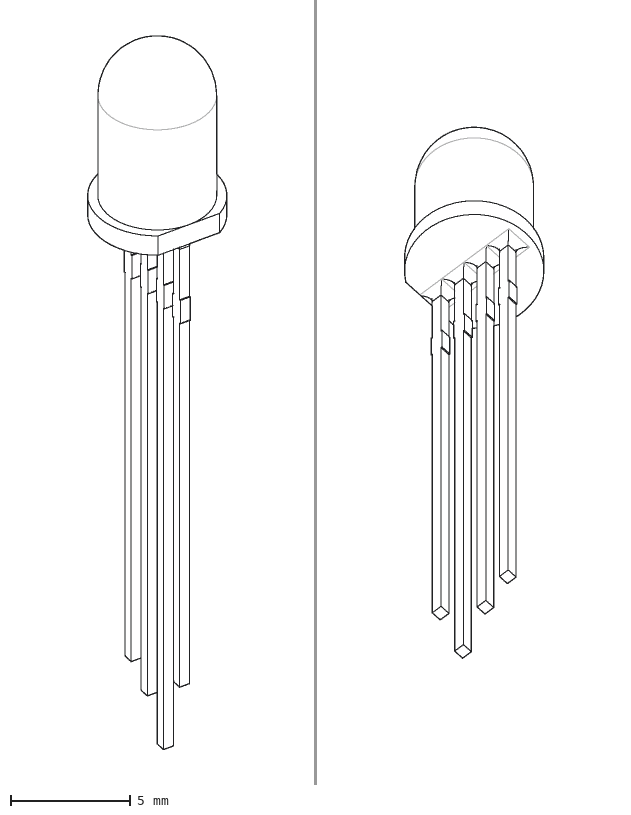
import cadquery as cq

overall_height = 35.65
longest_lead = 27.0
lens_diameter = 5.0
lens_radius = lens_diameter / 2
lens_height = overall_height - longest_lead
dome_base = lens_height - lens_radius
flange_diameter = 5.85
flange_height = 1.0

lead_width = 0.5
lead_row_span = 3.8
length_step = 1.0
steps_cut_back = [3, 2, 0, 4]
lead_lengths = [longest_lead - steps * length_step for steps in steps_cut_back]
lead_pitch = lead_row_span / (len(lead_lengths) - 1)
lead_places = [index * lead_pitch - lead_row_span / 2 for index in range(len(lead_lengths))]

shoulder_top = -3.0
shoulder_height = 1.2
shoulder_width = 0.6

meniscus_radius = 0.4


def make_flange():
    """Full round flange; the flat is cut later."""
    return cq.Workplane("XY").circle(flange_diameter / 2).extrude(flange_height)


def make_lens():
    """Cylinder closed by a half-round dome."""
    return (
        cq.Workplane("XZ")
        .lineTo(lens_radius, 0)
        .lineTo(lens_radius, dome_base)
        .radiusArc((0, lens_height), -lens_radius)
        .close()
        .revolve(360, (0, 0, 0), (0, 1, 0))
    )


def make_meniscus(lead_x):
    """Square collar that flares in a quarter round from the lead out to the flange."""
    half_lead = lead_width / 2
    half_base = half_lead + meniscus_radius
    flare_along_x = (
        cq.Workplane("XZ")
        .moveTo(-half_base, 0)
        .lineTo(half_base, 0)
        .radiusArc((half_lead, -meniscus_radius), -meniscus_radius)
        .lineTo(-half_lead, -meniscus_radius)
        .radiusArc((-half_base, 0), -meniscus_radius)
        .close()
        .extrude(half_base, both=True)
    )
    flare_along_y = flare_along_x.rotate((0, 0, 0), (0, 0, 1), 90)
    lead_hole = cq.Workplane("XY").rect(lead_width, lead_width).extrude(-meniscus_radius)
    return flare_along_x.intersect(flare_along_y).cut(lead_hole).translate((lead_x, 0, 0))


def make_flat_cutter():
    """Block beyond the +X flat, which is level with the lens wall."""
    block = cq.Workplane("XY").box(flange_diameter, flange_diameter, flange_diameter)
    return block.translate((lens_radius + flange_diameter / 2, 0, 0))


def make_housing():
    """Lens and flange with the collars under it, trimmed together by the flat."""
    body = make_flange().union(make_lens())
    for lead_x in lead_places:
        body = body.union(make_meniscus(lead_x))
    return body.cut(make_flat_cutter()).solids()


def make_lead(lead_x, length):
    """Square wire that hangs from the flange underside, with a shoulder part way down."""
    wire = cq.Workplane("XY").rect(lead_width, lead_width).extrude(-length)
    shoulder = (
        cq.Workplane("XY")
        .workplane(offset=shoulder_top)
        .rect(shoulder_width, lead_width)
        .extrude(-shoulder_height)
    )
    return wire.union(shoulder).translate((lead_x, 0, 0)).solids()


housing = make_housing()
leads = [make_lead(lead_x, length) for lead_x, length in zip(lead_places, lead_lengths)]

result = cq.Compound.makeCompound([housing.val(), *[lead.val() for lead in leads]])